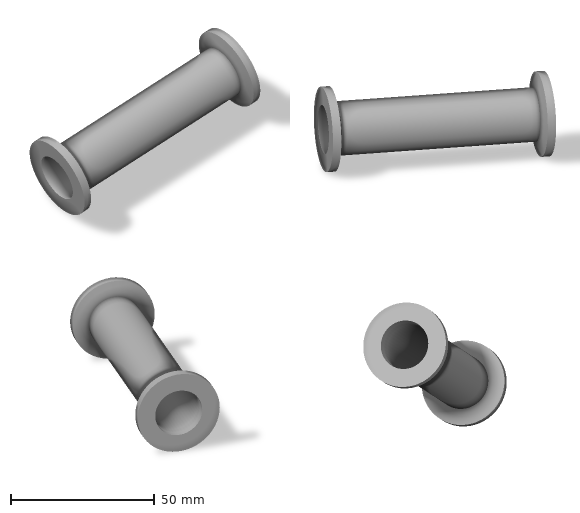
import cadquery as cq
import math

length = 80.0
flange_diameter = 30.0
tube_diameter = 19.1
bore_diameter = 17.2

rim_width = 3.0
taper_angle = 15.0

half_length = length / 2
flange_radius = flange_diameter / 2
tube_radius = tube_diameter / 2
bore_radius = bore_diameter / 2
taper_width = (flange_radius - tube_radius) * math.tan(math.radians(taper_angle))
rim_end = half_length - rim_width
taper_end = rim_end - taper_width


def flanged_tube():
    """Revolve the wall profile, a tube with a tapered flange at each end, about Y."""
    return (
        cq.Workplane("XY")
        .moveTo(bore_radius, -half_length)
        .lineTo(flange_radius, -half_length)
        .lineTo(flange_radius, -rim_end)
        .lineTo(tube_radius, -taper_end)
        .lineTo(tube_radius, taper_end)
        .lineTo(flange_radius, rim_end)
        .lineTo(flange_radius, half_length)
        .lineTo(bore_radius, half_length)
        .close()
        .revolve(360, (0, 0, 0), (0, 1, 0))
    )


result = flanged_tube()